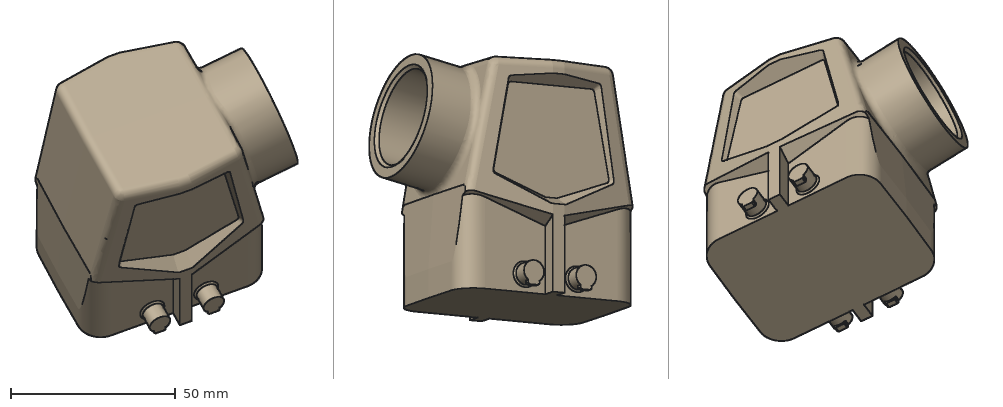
import cadquery as cq
import math

base_half_x = 22.2
base_half_y = 30.5
base_corner_radius = 7.6
skirt_height = 8.95
waist_z = 32.1
waist_half_y = 28.8
top_z = 72.5
top_half_y = 21.2
crown = 0.3

hood_half_x = 27.2
rib_half_width = 2.0
hood_edge_radius = 3.0
eave_z = 21.05
eave_slope_out = 0.56
eave_slope_along = 0.35

window_top_z = 64.7
window_top_half_y = 14.6
window_corner_z = 36.4
window_corner_half_y = 19.9
window_bottom_z = 30.0
window_corner_radius = 1.35
window_wall_angle = 29.0

pin_radius = 3.4
pin_offset_y = 8.95
pin_z = 5.6
pin_half_span = 28.0
pin_root_radius = 0.6
tab_width = 3.9
tab_length = 1.8
tab_bottom_z = 1.5
tab_corner = 0.45

spout_radius = 19.55
spout_tilt = 10.9
spout_rim_y = 43.7
spout_rim_z = 74.65
spout_length = 19.4
spout_root_radius = 2.25
bore_radius = 15.2
bore_chamfer = 1.05
bore_depth = 17.9

overlap = 0.75
tolerance = 0.04


def mirrored(half_outline):
    """Complete an outline that is symmetric about its vertical axis."""
    return half_outline + [(-u, v) for u, v in reversed(half_outline)]


def crowned_body(half_outline):
    """Body along X whose YZ outline shrinks slightly from X = 0 to both sides."""
    side_x = hood_half_x + overlap
    fall = crown * side_x / base_half_x
    side_half = [(y - fall, z - fall if z == top_z else z) for y, z in half_outline]
    halves = [
        cq.Workplane("YZ").polyline(mirrored(half_outline)).close()
        .workplane(offset=side * side_x).polyline(mirrored(side_half)).close()
        .loft(ruled=True)
        for side in (-1, 1)
    ]
    return halves[0].union(halves[1])


def make_envelope():
    """Bound for base and hood: upright skirt, slight lean to the waist, stronger lean above."""
    return crowned_body([
        (base_half_y, 0),
        (base_half_y, skirt_height),
        (waist_half_y, waist_z),
        (top_half_y, top_z),
    ])


def make_base():
    corner_y = base_half_y - crown
    plan = [
        (0, -base_half_y),
        (base_half_x, -corner_y),
        (base_half_x, corner_y),
        (0, base_half_y),
        (-base_half_x, corner_y),
        (-base_half_x, -corner_y),
    ]
    base = cq.Workplane("XY").polyline(plan).close().extrude(waist_z)
    return base.edges("|Z").edges("<X or >X").fillet(base_corner_radius)


def make_hood_blank():
    """Rounded hood whose sides form a flat ridge; the ridge carries on down as the side ribs."""
    lean = (waist_half_y - top_half_y) / (top_z - waist_z)
    foot_half_y = top_half_y + lean * top_z
    narrowing = (hood_half_x - base_half_x) / (waist_half_y - rib_half_width)
    end_x = base_half_x - narrowing * (foot_half_y - waist_half_y)
    plan = [
        (-hood_half_x, rib_half_width),
        (-end_x, foot_half_y),
        (end_x, foot_half_y),
        (hood_half_x, rib_half_width),
        (hood_half_x, -rib_half_width),
        (end_x, -foot_half_y),
        (-end_x, -foot_half_y),
        (-hood_half_x, -rib_half_width),
    ]
    wedge = crowned_body([(foot_half_y, 0), (top_half_y, top_z)])
    blank = cq.Workplane("XY").polyline(plan).close().extrude(top_z).intersect(wedge)

    def is_rounded(edge):
        """Corner and top edges, but not the foot, the ridge lines or the crease at X = 0."""
        middle = edge.Center()
        above_foot = middle.z > skirt_height
        off_crease = abs(middle.x) > rib_half_width
        corner_or_top = abs(middle.y) > 2 * rib_half_width or middle.z > window_top_z
        return above_foot and off_crease and corner_or_top

    return blank.edges().filter(is_rounded).fillet(hood_edge_radius)


def cut_eaves(hood):
    """Trim the hood below its sloping underside on both flanks of each rib."""
    outer_x = hood_half_x + overlap
    outer_y = base_half_y + overlap
    along = eave_slope_along * (outer_y - rib_half_width)

    def section(x):
        inner_z = eave_z + eave_slope_out * (x - base_half_x)
        return [
            (rib_half_width, -overlap),
            (rib_half_width, inner_z),
            (outer_y, inner_z + along),
            (outer_y, -overlap),
        ]

    below = (
        cq.Workplane("YZ").polyline(section(0)).close()
        .workplane(offset=outer_x).polyline(section(outer_x)).close()
        .loft(ruled=True)
    )
    for trim in (below, below.mirror("XZ")):
        hood = hood.cut(trim).cut(trim.mirror("YZ"))
    return hood


def make_window():
    """Flared pocket on the +X side with its floor level with the base side."""
    floor = mirrored([
        (rib_half_width, window_bottom_z),
        (window_corner_half_y, window_corner_z),
        (window_top_half_y, window_top_z),
    ])
    depth = hood_half_x - base_half_x + overlap
    flare = depth * math.tan(math.radians(window_wall_angle))
    bottom = cq.Workplane("YZ", origin=(base_half_x, 0, 0)).polyline(floor).close()
    mouth = bottom.offset2D(flare, "intersection").translate((depth, 0, 0))
    pocket = cq.Workplane(cq.Solid.makeLoft([bottom.val(), mouth.val()], True))

    def is_corner(edge):
        """Edge between two walls, running from the floor to the mouth."""
        rises = abs(edge.endPoint().x - edge.startPoint().x) > overlap
        return rises and abs(edge.Center().y) > 2 * rib_half_width

    return pocket.edges().filter(is_corner).fillet(window_corner_radius)


def make_pin(y):
    """Pin on the +X side with a flared root and a small tab under its tip."""
    root_x = base_half_x - overlap
    pin = (
        cq.Workplane("YZ", origin=(root_x, y, pin_z))
        .circle(pin_radius).extrude(pin_half_span - root_x)
    )
    flare = (
        cq.Workplane("XY")
        .moveTo(root_x, 0)
        .lineTo(root_x, pin_radius + pin_root_radius)
        .lineTo(base_half_x, pin_radius + pin_root_radius)
        .radiusArc((base_half_x + pin_root_radius, pin_radius), pin_root_radius)
        .lineTo(base_half_x + pin_root_radius, 0)
        .close()
        .revolve(360, (0, 0, 0), (1, 0, 0))
        .translate((0, y, pin_z))
    )
    tab_height = pin_z - tab_bottom_z
    tab = (
        cq.Workplane("XY")
        .box(tab_length, tab_width, tab_height, centered=(False, True, False))
        .edges("|X and <Z").chamfer(tab_corner)
        .translate((pin_half_span - tab_length, y, tab_bottom_z))
    )
    return pin.union(flare).union(tab)


def spout_plane():
    """Plane of the spout rim, normal pointing outwards along the spout axis."""
    tilt = math.radians(spout_tilt)
    centre = (
        0,
        spout_rim_y - spout_radius * math.sin(tilt),
        spout_rim_z - spout_radius * math.cos(tilt),
    )
    upwards = (0, -math.sin(tilt), math.cos(tilt))
    outwards = (0, math.cos(tilt), math.sin(tilt))
    return cq.Plane(origin=centre, xDir=upwards, normal=outwards)


def add_spout(hood):
    """Join the spout to the hood with a rounded root."""
    rim = spout_plane()
    joined = hood.union(cq.Workplane(rim).circle(spout_radius).extrude(-spout_length))

    def is_root(edge):
        """Curved edge on the spout surface, away from the rim."""
        places = [rim.toLocalCoords(edge.positionAt(t)) for t in (0, 0.25, 0.5, 0.75, 1)]
        on_surface = all(
            math.isclose(math.hypot(p.x, p.y), spout_radius, abs_tol=tolerance) for p in places
        )
        below_rim = all(p.z < -overlap for p in places)
        return on_surface and below_rim and edge.geomType() != "LINE"

    return joined.edges().filter(is_root).fillet(spout_root_radius)


def make_bore():
    """Blind bore of the spout with a chamfered mouth."""
    profile = [
        (0, 0),
        (bore_radius + bore_chamfer, 0),
        (bore_radius, -bore_chamfer),
        (bore_radius, -bore_depth),
        (0, -bore_depth),
    ]
    rim = spout_plane()
    section = cq.Plane(origin=rim.origin, xDir=rim.xDir, normal=-rim.yDir)
    return cq.Workplane(section).polyline(profile).close().revolve(360, (0, 0, 0), (0, 1, 0))


envelope = make_envelope()
base = make_base().intersect(envelope)
hood = add_spout(make_hood_blank().intersect(envelope))
body = cut_eaves(hood).union(base)

window = make_window()
body = body.cut(window).cut(window.mirror("YZ"))
body = body.cut(make_bore())
for pin_y in (-pin_offset_y, pin_offset_y):
    pin = make_pin(pin_y)
    body = body.union(pin).union(pin.mirror("YZ"))

result = body